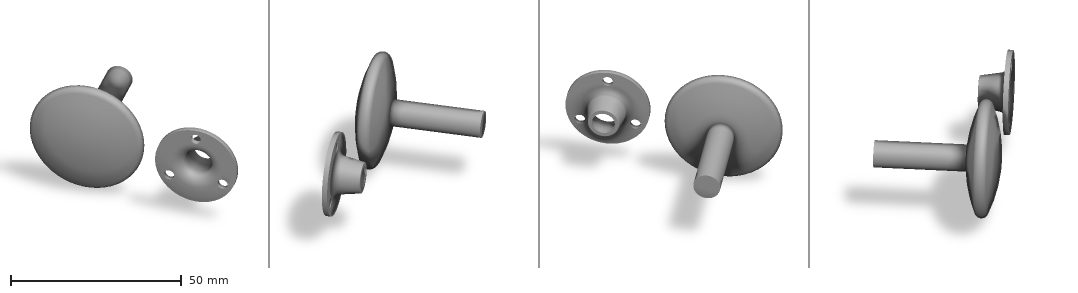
import cadquery as cq
import math


knob_radius = 17.5
rim_radius = 2.0
dome_height = 5.25
shaft_diameter = 8.0
knob_length = 37.5

overall_width = 65.0
flange_diameter = 25.0
flange_thickness = 1.55
collar_end = 9.55
collar_end_radius = 4.6
collar_taper = math.radians(10)
collar_edge_radius = 0.2
flare_radius = 2.0
bore_mouth_radius = 7.6
bore_flare_radius = 3.5
bore_end_radius = 3.4
screw_hole_diameter = 3.1
screw_circle_radius = 9.5
screw_hole_count = 3

flange_radius = flange_diameter / 2
rosette_x = overall_width - knob_radius - flange_radius


def revolve_about_y(profile):
    return profile.close().revolve(360, (0, 0, 0), (0, 1, 0))


def make_knob():
    rim_center = knob_radius - rim_radius
    dome_radius = (rim_center**2 + dome_height**2 - rim_radius**2) / (2 * (dome_height - rim_radius))
    tangent_angle = math.acos(rim_center / (dome_radius - rim_radius))
    tangent_x = rim_center + rim_radius * math.cos(tangent_angle)
    tangent_rise = rim_radius * math.sin(tangent_angle)
    half_angle = math.asin(tangent_x / dome_radius) / 2
    dome_mid_x = dome_radius * math.sin(half_angle)
    dome_mid_rise = dome_height - dome_radius * (1 - math.cos(half_angle))
    middle = dome_height

    head = revolve_about_y(
        cq.Workplane("XY")
        .moveTo(0, 0)
        .threePointArc((dome_mid_x, middle - dome_mid_rise), (tangent_x, middle - tangent_rise))
        .threePointArc((knob_radius, middle), (tangent_x, middle + tangent_rise))
        .threePointArc((dome_mid_x, middle + dome_mid_rise), (0, 2 * dome_height))
    )
    shaft = (
        cq.Workplane("XZ", origin=(0, middle, 0))
        .circle(shaft_diameter / 2)
        .extrude(-(knob_length - middle))
    )
    return head.union(shaft)


def flare_point(center, radius, angle):
    """Point on a flare arc: at 90 degrees it faces the front, at 0 it faces the axis."""
    return (center[0] - radius * math.cos(angle), center[1] - radius * math.sin(angle))


def bore_taper_angle(mouth_center):
    """Taper of the bore line that is tangent to the mouth round and reaches the bore's end radius."""
    across = mouth_center[0] - bore_end_radius
    along = collar_end - mouth_center[1]
    return math.acos(bore_flare_radius / math.hypot(across, along)) - math.atan2(along, across)


def make_rosette():
    bore_center = (bore_mouth_radius, bore_flare_radius)
    bore_taper = bore_taper_angle(bore_center)
    bore_mid_angle = (math.pi / 2 + bore_taper) / 2

    flare_center_y = flange_thickness + flare_radius
    wall_radius = collar_end_radius + (collar_end - flare_center_y) * math.tan(collar_taper)
    flare_center = (wall_radius + flare_radius / math.cos(collar_taper), flare_center_y)
    flare_mid_angle = (math.pi / 2 + collar_taper) / 2

    body = revolve_about_y(
        cq.Workplane("XY")
        .moveTo(bore_mouth_radius, 0)
        .lineTo(flange_radius, 0)
        .lineTo(flange_radius, flange_thickness)
        .lineTo(flare_center[0], flange_thickness)
        .threePointArc(
            flare_point(flare_center, flare_radius, flare_mid_angle),
            flare_point(flare_center, flare_radius, collar_taper),
        )
        .lineTo(collar_end_radius, collar_end)
        .lineTo(bore_end_radius, collar_end)
        .lineTo(*flare_point(bore_center, bore_flare_radius, bore_taper))
        .threePointArc(
            flare_point(bore_center, bore_flare_radius, bore_mid_angle),
            (bore_mouth_radius, 0),
        )
    )
    collar_edge = cq.selectors.RadiusNthSelector(-1)
    body = body.faces(">Y").edges(collar_edge).fillet(collar_edge_radius)

    screw_holes = (
        cq.Workplane("XZ")
        .polarArray(screw_circle_radius, 90, 360, screw_hole_count)
        .circle(screw_hole_diameter / 2)
        .extrude(-flange_thickness)
    )
    return body.cut(screw_holes).translate((rosette_x, 0, 0))


knob = make_knob()
rosette = make_rosette()
result = cq.Compound.makeCompound([knob.solids().val(), rosette.solids().val()])